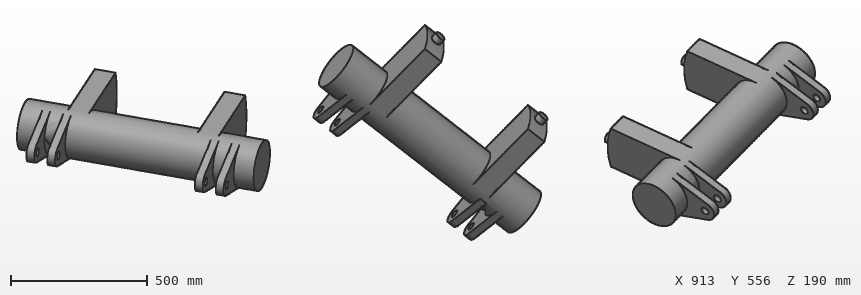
import cadquery as cq
import math

bar_length = 913.0
bar_diameter = 190.0
bar_radius = bar_diameter / 2

overall_depth = 556.0

arm_width = 80.0
arm_spacing = 500.0
arm_reach = 318.0
pin_diameter = 40.0
pin_end = 343.0

lug_thickness = 30.0
lug_gap = 50.0
clevis_spacing = 650.0
lug_reach = pin_end - overall_depth
lug_end_radius = 40.0
lug_hole_diameter = 30.0
lug_eye_y = lug_reach + lug_end_radius


def extrude_along_x(profile, center_x, width):
    """Extrude a YZ profile by width, centred on center_x."""
    return profile.extrude(width / 2, both=True).translate((center_x, 0, 0))


def make_arm(center_x):
    corner_y = math.sqrt(arm_reach**2 - bar_radius**2)
    profile = (
        cq.Workplane("YZ")
        .moveTo(0, -bar_radius)
        .lineTo(corner_y, -bar_radius)
        .threePointArc((arm_reach, 0), (corner_y, bar_radius))
        .lineTo(0, bar_radius)
        .close()
    )
    arm = extrude_along_x(profile, center_x, arm_width)
    pin = (
        cq.Workplane("XZ")
        .center(center_x, 0)
        .circle(pin_diameter / 2)
        .extrude(-pin_end)
    )
    return arm.union(pin)


def make_lug(center_x):
    slope_sin = (bar_radius - lug_end_radius) / -lug_eye_y
    slope_cos = math.sqrt(1 - slope_sin**2)
    root_y = -bar_radius * slope_sin
    root_z = bar_radius * slope_cos
    tip_y = lug_eye_y - lug_end_radius * slope_sin
    tip_z = lug_end_radius * slope_cos
    profile = (
        cq.Workplane("YZ")
        .moveTo(root_y, root_z)
        .lineTo(tip_y, tip_z)
        .threePointArc((lug_reach, 0), (tip_y, -tip_z))
        .lineTo(root_y, -root_z)
        .close()
    )
    hole = cq.Workplane("YZ").center(lug_eye_y, 0).circle(lug_hole_diameter / 2)
    lug = extrude_along_x(profile, center_x, lug_thickness)
    return lug.cut(extrude_along_x(hole, center_x, lug_thickness))


result = cq.Workplane("YZ").circle(bar_radius).extrude(bar_length / 2, both=True)

lug_offset = (lug_gap + lug_thickness) / 2
for side in (-1, 1):
    result = result.union(make_arm(side * arm_spacing / 2))
    clevis_x = side * clevis_spacing / 2
    for lug_x in (clevis_x - lug_offset, clevis_x + lug_offset):
        result = result.union(make_lug(lug_x))